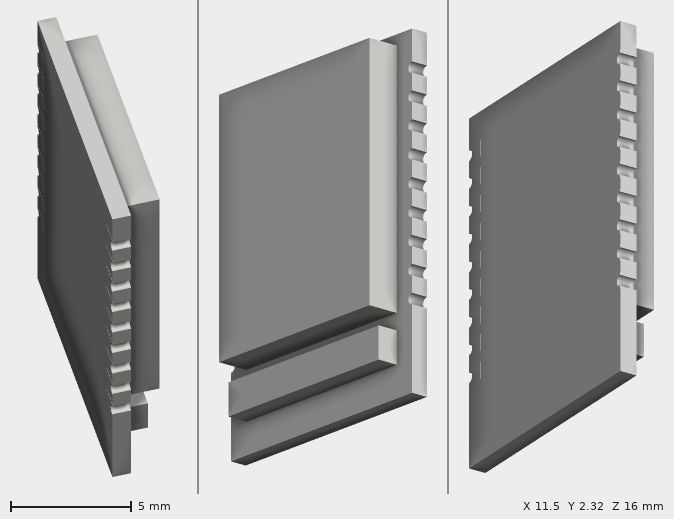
import cadquery as cq

overall_depth = 2.32
pad_thickness = 0.01
shield_depth = 1.5
board_thickness = overall_depth - pad_thickness - shield_depth

board_width = 11.5
board_height = 16.0

pad_length = 0.9
pad_height = 0.78

contact_count = 9
contact_row_span = 10.16
contact_pitch = contact_row_span / (contact_count - 1)
top_contact_drop = 1.7
top_contact_z = board_height - top_contact_drop
notch_diameter = 0.5

shield_width = 9.55
shield_height = 11.75
shield_top_gap = 0.5
shield_bottom_z = board_height - shield_top_gap - shield_height

block_width = shield_width
block_depth = 1.0
block_height = 1.5
block_shield_gap = 0.77
block_bottom_z = shield_bottom_z - block_shield_gap - block_height


def centred_box(width, depth, height, front_y, bottom_z):
    """Box centred on X, running back from front_y and up from bottom_z."""
    box = cq.Workplane("XY").box(width, depth, height, centered=(True, False, False))
    return box.translate((0, front_y, bottom_z))


def contact_points(x_offset):
    """Contact centres in X and Z, x_offset from the middle on both sides."""
    return [
        (side * x_offset, top_contact_z - index * contact_pitch)
        for side in (-1, 1)
        for index in range(contact_count)
    ]


def pads():
    """Raised pads, flush with the side edges of the board."""
    pad_centre_x = (board_width - pad_length) / 2
    return (
        cq.Workplane("XZ")
        .pushPoints(contact_points(pad_centre_x))
        .rect(pad_length, pad_height)
        .extrude(pad_thickness)
    )


def notches():
    """Cylinders centred on the side edges, through the pads and the board."""
    return (
        cq.Workplane("XZ", origin=(0, board_thickness, 0))
        .pushPoints(contact_points(board_width / 2))
        .circle(notch_diameter / 2)
        .extrude(board_thickness + pad_thickness)
    )


board = centred_box(board_width, board_thickness, board_height, 0, 0)
shield = centred_box(shield_width, shield_depth, shield_height, board_thickness, shield_bottom_z)
block = centred_box(block_width, block_depth, block_height, board_thickness, block_bottom_z)

result = board.union(pads()).cut(notches()).union(shield).union(block)